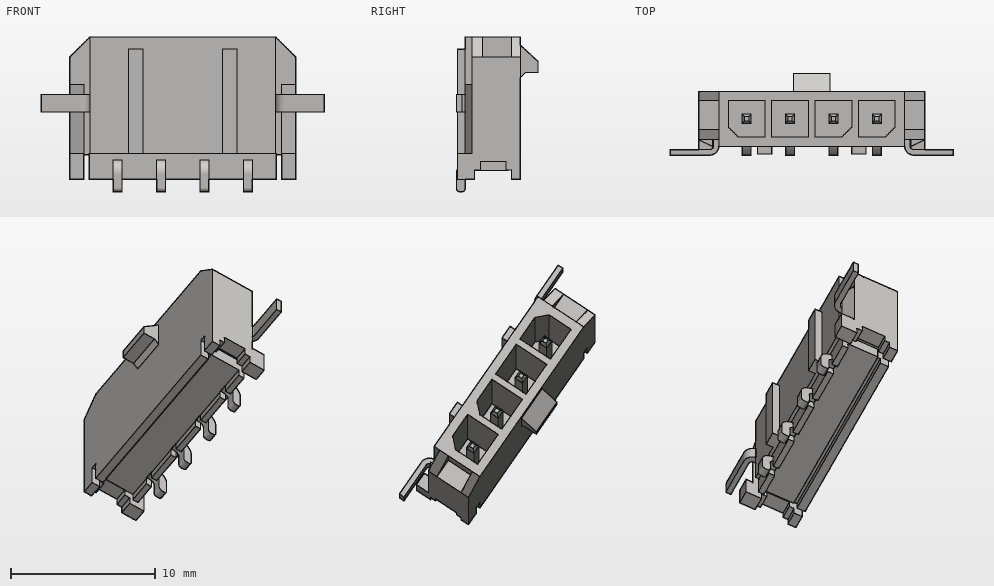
import cadquery as cq
import math


CORE_HALF = 6.43
BODY_HALF = 7.85
DEPTH = 3.83
HEIGHT = 9.88
WING_FRONT = 0.47
WING_TOP = 8.49
BACK_WALL = 0.63
WING_POCKET_FRONT = 1.2
BACK_WALL_FRONT = DEPTH - BACK_WALL

PITCH = 3.0
CONTACTS = 4
CAVITY_SIZE = 2.55
CAVITY_CHAMFER = 0.7
CAVITY_FLOOR = 2.2
CAVITY_CENTER = BACK_WALL_FRONT - CAVITY_SIZE / 2
CAVITY_KEYS = [-1, 0, 1, 1]

FOOT_WIDTH = 0.98
FOOT_INNER = BODY_HALF - FOOT_WIDTH
FOOT_FRONT = -0.53
CHANNEL_FRONT = 0.67
CHANNEL_HEIGHT = 0.65
WINDOW_FRONT = 1.08
WINDOW_BACK = 2.83
WINDOW_TOP = 1.25
GAP_TOP = 1.7

BASE_HALF = 6.48
BASE_FRONT = 0.24
BASE_BACK = 2.99
BASE_TOP = 1.8
BASE_UNDERSIDE = 0.6

RIB_X = 3.26
RIB_WIDTH = 1.0
RIB_FRONT = FOOT_FRONT
RIB_TOP = 9.04
WEDGE_TOP = 6.56

LATCH_HALF = 1.28
LATCH_BACK = 5.07
LATCH_TOP = 9.31
LATCH_TIP_TOP = 8.17
LATCH_TIP_BOTTOM = 7.4
LATCH_CHAMFER = 0.35

CLIP_TIP = 9.82
CLIP_FRONT = -0.6
CLIP_THICKNESS = 0.4
CLIP_BEND = 0.67
CLIP_BOTTOM = 4.65
CLIP_WIDTH = 1.24

PIN_SIZE = 0.63
PIN_FRONT = CLIP_FRONT
PIN_TAIL = -0.86
PIN_TAIL_FILLET = 0.25
PIN_BEND = 1.0
PIN_LEG_TOP = 1.35
PIN_TOP = 7.86
PIN_TIP_SIZE = 0.3
PIN_TIP_HEIGHT = 0.4


def block(x0, x1, y0, y1, z0, z1):
    """Box between two opposite corners."""
    return cq.Workplane("XY").box(x1 - x0, y1 - y0, z1 - z0, centered=False).translate((x0, y0, z0))


def both_sides(feature):
    """A feature together with its mirror image in the plane x = 0."""
    return feature.union(feature.mirror("YZ"))


def contact_x(index):
    """X position of a contact, counted from the left."""
    return (index - (CONTACTS - 1) / 2) * PITCH


def quarter_point(center, radius, side):
    """Middle of the quarter arc left of a center, above (side 1) or below it (side -1)."""
    reach = radius * math.sqrt(0.5)
    return (center[0] - reach, center[1] + side * reach)


def shell():
    """Middle block with sloped, hollowed wings at both ends."""
    wings = (
        cq.Workplane("XZ", origin=(0, WING_FRONT, 0))
        .polyline([
            (-BODY_HALF, 0), (BODY_HALF, 0), (BODY_HALF, WING_TOP),
            (CORE_HALF, HEIGHT), (-CORE_HALF, HEIGHT), (-BODY_HALF, WING_TOP),
        ])
        .close()
        .extrude(-(DEPTH - WING_FRONT))
    )
    pocket = block(CORE_HALF, BODY_HALF, WING_POCKET_FRONT, BACK_WALL_FRONT, WING_TOP, HEIGHT)
    core = block(-CORE_HALF, CORE_HALF, 0, DEPTH, 0, HEIGHT)
    return wings.cut(both_sides(pocket)).union(core)


def cavity(index):
    """Contact cavity, open at the top, with a square pin hole through its floor."""
    half = CAVITY_SIZE / 2
    key = CAVITY_KEYS[index]
    hole = block(-half, half, -half, half, CAVITY_FLOOR, HEIGHT)
    if key != 0:
        corner = "<X" if key < 0 else ">X"
        hole = hole.faces(corner).edges("|Z and <Y").chamfer(CAVITY_CHAMFER)
    pin_half = PIN_SIZE / 2
    pin_hole = block(-pin_half, pin_half, -pin_half, pin_half, BASE_TOP, CAVITY_FLOOR)
    return hole.union(pin_hole).translate((contact_x(index), CAVITY_CENTER, 0))


def rib(x):
    """Vertical rib on the front wall."""
    return block(x - RIB_WIDTH / 2, x + RIB_WIDTH / 2, RIB_FRONT, 0, BASE_TOP, RIB_TOP)


def right_wedge():
    """Triangular corner filler on the front of the right wing."""
    return (
        cq.Workplane("XY", origin=(0, 0, BASE_TOP))
        .polyline([(FOOT_INNER, WING_FRONT), (FOOT_INNER, 0), (BODY_HALF, WING_FRONT)])
        .close()
        .extrude(WEDGE_TOP - BASE_TOP)
    )


def right_foot():
    """Front foot below the right wing."""
    return block(FOOT_INNER, BODY_HALF, FOOT_FRONT, CHANNEL_FRONT, 0, BASE_TOP)


def latch():
    """Ramped catch on the back wall."""
    return (
        cq.Workplane("YZ", origin=(-LATCH_HALF, 0, 0))
        .polyline([
            (DEPTH, LATCH_TOP), (LATCH_BACK, LATCH_TIP_TOP), (LATCH_BACK, LATCH_TIP_BOTTOM),
            (DEPTH + LATCH_CHAMFER, LATCH_TIP_BOTTOM), (DEPTH, LATCH_TIP_BOTTOM - LATCH_CHAMFER),
        ])
        .close()
        .extrude(2 * LATCH_HALF)
    )


def right_clip():
    """Bent strip that leaves the right wing and runs outwards."""
    center = (CORE_HALF + CLIP_BEND, CLIP_FRONT + CLIP_BEND)
    inner_bend = CLIP_BEND - CLIP_THICKNESS
    clip_back = CLIP_FRONT + CLIP_THICKNESS
    return (
        cq.Workplane("XY", origin=(0, 0, CLIP_BOTTOM))
        .moveTo(CORE_HALF, WING_FRONT)
        .lineTo(CORE_HALF, center[1])
        .threePointArc(quarter_point(center, CLIP_BEND, -1), (center[0], CLIP_FRONT))
        .lineTo(CLIP_TIP, CLIP_FRONT)
        .lineTo(CLIP_TIP, clip_back)
        .lineTo(center[0], clip_back)
        .threePointArc(quarter_point(center, inner_bend, -1), (CORE_HALF + CLIP_THICKNESS, center[1]))
        .lineTo(CORE_HALF + CLIP_THICKNESS, WING_FRONT)
        .close()
        .extrude(CLIP_WIDTH)
    )


def make_housing():
    base_slot = block(-BASE_HALF, BASE_HALF, 0, BASE_BACK, 0, BASE_TOP)
    end_gap = block(CORE_HALF, FOOT_INNER, 0, DEPTH, 0, GAP_TOP)
    channel = block(-BODY_HALF, BODY_HALF, CHANNEL_FRONT, BACK_WALL_FRONT, 0, CHANNEL_HEIGHT)
    window = block(FOOT_INNER, BODY_HALF, WINDOW_FRONT, WINDOW_BACK, 0, WINDOW_TOP)

    housing = shell().cut(base_slot).cut(channel)
    for index in range(CONTACTS):
        housing = housing.cut(cavity(index))
    for opening in (end_gap, window):
        housing = housing.cut(both_sides(opening))
    for feature in (rib(RIB_X), right_wedge(), right_foot(), right_clip()):
        housing = housing.union(both_sides(feature))
    return housing.union(latch())


def pin(index):
    """Square pin: tapered post, leg through the base, rounded tail bent down."""
    center = (PIN_FRONT + PIN_BEND, PIN_LEG_TOP - PIN_BEND)
    inner_bend = PIN_BEND - PIN_SIZE
    leg_bottom = PIN_LEG_TOP - PIN_SIZE
    post_back = CAVITY_CENTER + PIN_SIZE / 2
    post_front = CAVITY_CENTER - PIN_SIZE / 2
    tip_base = PIN_TOP - PIN_TIP_HEIGHT
    shank = (
        cq.Workplane("YZ", origin=(-PIN_SIZE / 2, 0, 0))
        .moveTo(PIN_FRONT, PIN_TAIL)
        .lineTo(PIN_FRONT, center[1])
        .threePointArc(quarter_point(center, PIN_BEND, 1), (center[0], PIN_LEG_TOP))
        .lineTo(post_front, PIN_LEG_TOP)
        .lineTo(post_front, tip_base)
        .lineTo(post_back, tip_base)
        .lineTo(post_back, leg_bottom)
        .lineTo(center[0], leg_bottom)
        .threePointArc(quarter_point(center, inner_bend, 1), (PIN_FRONT + PIN_SIZE, center[1]))
        .lineTo(PIN_FRONT + PIN_SIZE, PIN_TAIL)
        .close()
        .extrude(PIN_SIZE)
        .faces("<Z").edges("|X").fillet(PIN_TAIL_FILLET)
    )
    tip = (
        cq.Workplane("XY", origin=(0, CAVITY_CENTER, tip_base))
        .rect(PIN_SIZE, PIN_SIZE)
        .workplane(offset=PIN_TIP_HEIGHT)
        .rect(PIN_TIP_SIZE, PIN_TIP_SIZE)
        .loft(ruled=True)
    )
    return shank.union(tip).translate((contact_x(index), 0, 0))


def pin_slot(index):
    """Slot in the base's front foot, open downwards, where a pin leg leaves."""
    x = contact_x(index)
    return block(x - PIN_SIZE / 2, x + PIN_SIZE / 2, BASE_FRONT, CHANNEL_FRONT, 0, PIN_LEG_TOP)


def make_base():
    """Base plate with a slotted front foot, carrying all the pins."""
    plate = block(-BASE_HALF, BASE_HALF, BASE_FRONT, BASE_BACK, BASE_UNDERSIDE, BASE_TOP)
    base = plate.union(block(-BASE_HALF, BASE_HALF, BASE_FRONT, CHANNEL_FRONT, 0, BASE_UNDERSIDE))
    for index in range(CONTACTS):
        base = base.cut(pin_slot(index)).union(pin(index))
    return base


housing = make_housing()
base = make_base()
result = cq.Compound.makeCompound([housing.solids().val(), base.solids().val()])